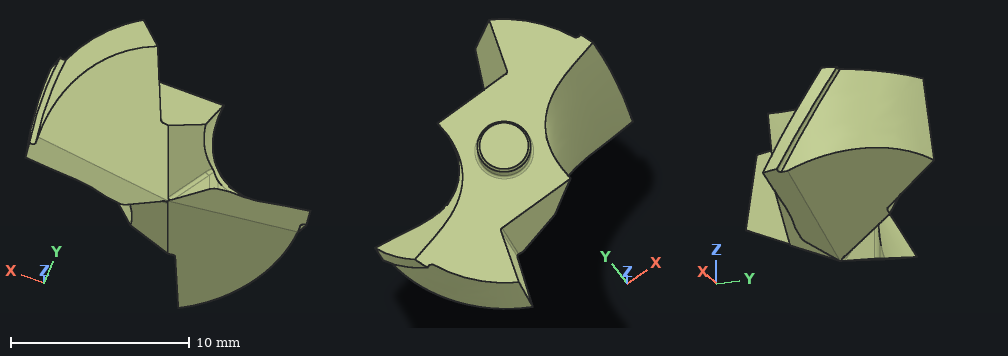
import cadquery as cq
import math


margin_radius = 8.15
body_radius = 7.82
head_height = 8.62
twist_rate = 4.233

heel_x = 2.09
margin_start_angle = 14.8
margin_end_angle = 20.9
step_end_angle = 22.1

step_sag = 0.05
body_mid_angle = 60.0

flat_offset = 3.57

flute = [
    (5.87, 1.61), (3.91, 0.83), (2.64, -0.37),
    (2.12, -1.55), (1.95, -2.77), (1.99, -flat_offset),
]

pin_radius = 1.5
pin_height = 0.86
pin_chamfer = 0.13
pin_root_fillet = 0.15

seat_corner_x = 2.98
seat_angle = 71.0
seat_undercut = 0.178
seat_fillet = 0.16

lip_slope = 0.351
lip_clearance = 0.04
relief_slope = 0.389
gash_slope_x = 1.09
gash_slope_y = 0.94
gash_wall_angle = -32.5
gash_bend_start_x = 1.99
gash_bend_end_x = 2.45
gash_end_x = 4.08
gash_fillet = 0.21

big = 4 * margin_radius


def polar(radius, angle):
    a = math.radians(angle)
    return (radius * math.cos(a), radius * math.sin(a))


def half_turn(shape):
    return shape.rotate((0, 0, 0), (0, 0, 1), 180)


def opposite(points):
    return [(-x, -y) for x, y in points]


def half_space(point, outward):
    """Block that fills the side of a plane its outward vector points to."""
    plane = cq.Plane(origin=point, normal=outward)
    return cq.Workplane(plane).rect(big, big).extrude(big)


def twisted_body():
    flute_lip = polar(margin_radius, margin_start_angle)
    heel = (-heel_x, math.sqrt(body_radius**2 - heel_x**2))
    margin_mid = polar(margin_radius, (margin_start_angle + margin_end_angle) / 2)
    margin_end = polar(margin_radius, margin_end_angle)
    step_mid = polar(body_radius + step_sag, (margin_end_angle + step_end_angle) / 2)
    step_end = polar(body_radius, step_end_angle)
    body_mid = polar(body_radius, body_mid_angle)

    next_flute = opposite(list(reversed([flute_lip] + flute)))

    section = cq.Workplane("XY").moveTo(*flute_lip)
    for side in (list, opposite):
        section = section.threePointArc(*side([margin_mid, margin_end]))
        section = section.threePointArc(*side([step_mid, step_end]))
        section = section.threePointArc(*side([body_mid, heel]))
        section = section.lineTo(*side(next_flute)[0])
        section = section.spline(side(next_flute)[1:], includeCurrent=True)
    twist = twist_rate * head_height
    body = section.close().twistExtrude(head_height, twist)
    return body.rotate((0, 0, 0), (0, 0, 1), -twist)


def seat_cutter():
    """Notch between the drive flat and the slanted clamping seat, on the +Y side."""
    corner = (seat_corner_x, flat_offset, head_height)
    along_x, along_y = polar(1, seat_angle)
    seat_outward = (-along_y, along_x, seat_undercut * along_y)
    notch = half_space(corner, (0, 1, 0)).intersect(half_space(corner, seat_outward))
    return notch.edges(cq.selectors.NearestToPointSelector(corner)).fillet(seat_fillet)


def relief_cutter():
    """Material below the relief facet on the -Y side of the point."""
    point = (0, 0, 0)
    below_facet = half_space(point, (-lip_slope, -relief_slope, -1))
    return below_facet.intersect(half_space(point, (0, -1, 0)))


def gash_cutter():
    """Web-thinning gash on the -Y side: sloping floor and upright wall that curves into the flute."""
    point = (0, 0, 0)
    wall_slope = math.tan(math.radians(gash_wall_angle))
    bend_start_y = gash_bend_start_x * wall_slope
    bend_drop = (gash_bend_end_x - gash_bend_start_x) * math.tan(math.radians(gash_wall_angle / 2))
    upright = (
        cq.Workplane("XY")
        .moveTo(-margin_radius, -margin_radius * wall_slope)
        .lineTo(gash_bend_start_x, bend_start_y)
        .tangentArcPoint((gash_bend_end_x, bend_start_y + bend_drop), relative=False)
        .lineTo(gash_end_x, bend_start_y + bend_drop)
        .lineTo(gash_end_x, -big)
        .lineTo(-margin_radius, -big)
        .close()
        .extrude(big / 2, both=True)
    )
    below_floor = half_space(point, (gash_slope_x, -gash_slope_y, -1))
    gash = upright.intersect(below_floor)
    return gash.edges(cq.selectors.NearestToPointSelector(point)).fillet(gash_fillet)


def lip_cutter():
    """Material below the lip facet on the +X side of the point."""
    point = (0, 0, 0)
    return half_space(point, (lip_slope, lip_clearance, -1)).intersect(half_space(point, (1, 0, 0)))


def locating_pin():
    pin = cq.Workplane("XY").workplane(offset=head_height).circle(pin_radius).extrude(pin_height)
    pin = pin.faces(">Z").chamfer(pin_chamfer)
    root_mid = pin_root_fillet * (1 - math.sqrt(0.5))
    root = (
        cq.Workplane("XZ")
        .moveTo(0, head_height)
        .lineTo(pin_radius + pin_root_fillet, head_height)
        .threePointArc(
            (pin_radius + root_mid, head_height + root_mid),
            (pin_radius, head_height + pin_root_fillet),
        )
        .lineTo(0, head_height + pin_root_fillet)
        .close()
        .revolve(360, (0, 0, 0), (0, 1, 0))
    )
    return pin.union(root)


result = twisted_body()
for cutter in (lip_cutter(), relief_cutter(), gash_cutter(), seat_cutter()):
    result = result.cut(cutter).cut(half_turn(cutter))
result = result.union(locating_pin())